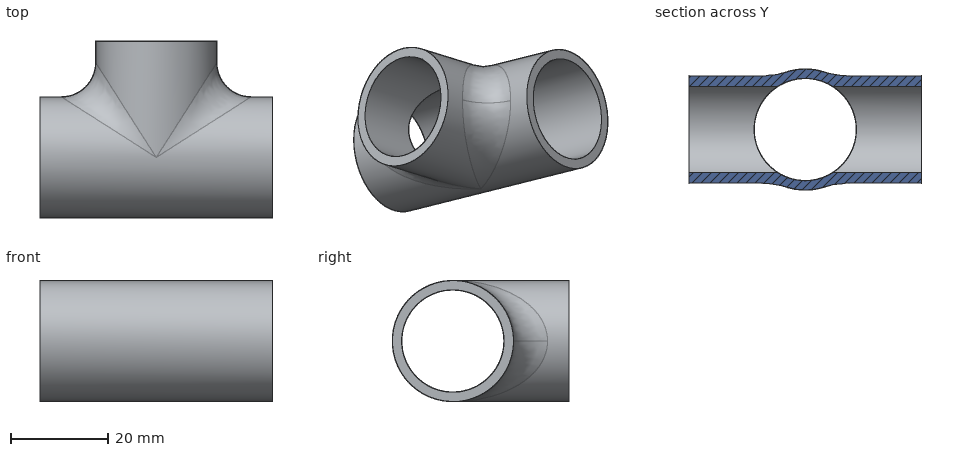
import cadquery as cq

run_length = 48.0
outer_diameter = 25.0
bore_diameter = 21.0
overall_depth = 36.5
crotch_radius = 7.0

branch_length = overall_depth - outer_diameter / 2


def crossing_cylinders(diameter):
    """Run and branch cylinders of one diameter, with crossing axes."""
    run = cq.Workplane("YZ").circle(diameter / 2).extrude(run_length / 2, both=True)
    branch = cq.Workplane("XZ").circle(diameter / 2).extrude(-branch_length)
    return run.union(branch)


body = crossing_cylinders(outer_diameter).edges("%ELLIPSE").fillet(crotch_radius)

result = body.cut(crossing_cylinders(bore_diameter))